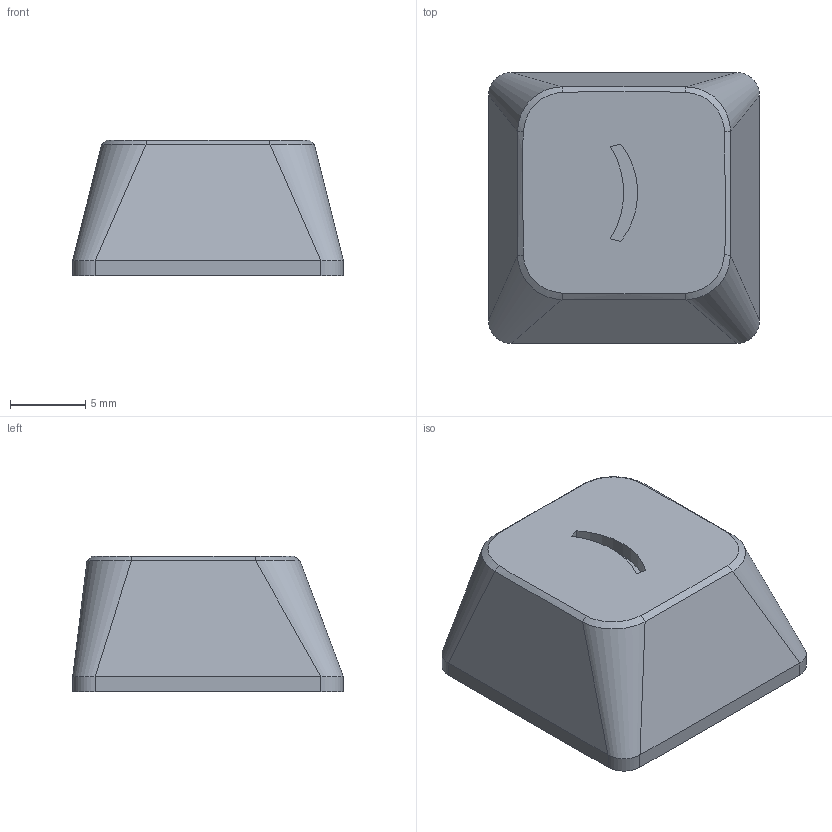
import cadquery as cq

base_size = 18.0
base_radius = 1.5
skirt_height = 1.0

total_height = 9.0
top_size = 14.0
top_radius = 3.0
top_shift_y = 1.0
top_chamfer = 0.3

groove_inner_mid_x = -0.02
groove_inner_end_x = -0.91
groove_inner_end_y = 3.07
groove_outer_mid_x = 0.91
groove_outer_end_x = -0.2
groove_outer_end_y = 3.23
groove_depth = 1.0


def rounded_square(size, radius):
    """Square sketch centred on its origin, with rounded corners."""
    return cq.Sketch().rect(size, size).vertices().fillet(radius)


def make_skirt():
    return cq.Workplane("XY").placeSketch(rounded_square(base_size, base_radius)).extrude(skirt_height)


def make_tapered_body():
    bottom = rounded_square(base_size, base_radius).moved(cq.Location(cq.Vector(0, 0, skirt_height)))
    top = rounded_square(top_size, top_radius).moved(
        cq.Location(cq.Vector(0, top_shift_y, total_height))
    )
    body = cq.Workplane("XY").placeSketch(bottom, top).loft(ruled=True)
    return body.faces(">Z").edges().chamfer(top_chamfer)


def make_groove():
    return (
        cq.Workplane("XY", origin=(0, top_shift_y, total_height))
        .moveTo(groove_inner_end_x, -groove_inner_end_y)
        .threePointArc((groove_inner_mid_x, 0), (groove_inner_end_x, groove_inner_end_y))
        .lineTo(groove_outer_end_x, groove_outer_end_y)
        .threePointArc((groove_outer_mid_x, 0), (groove_outer_end_x, -groove_outer_end_y))
        .close()
        .extrude(-groove_depth)
    )


result = make_skirt().union(make_tapered_body()).cut(make_groove())